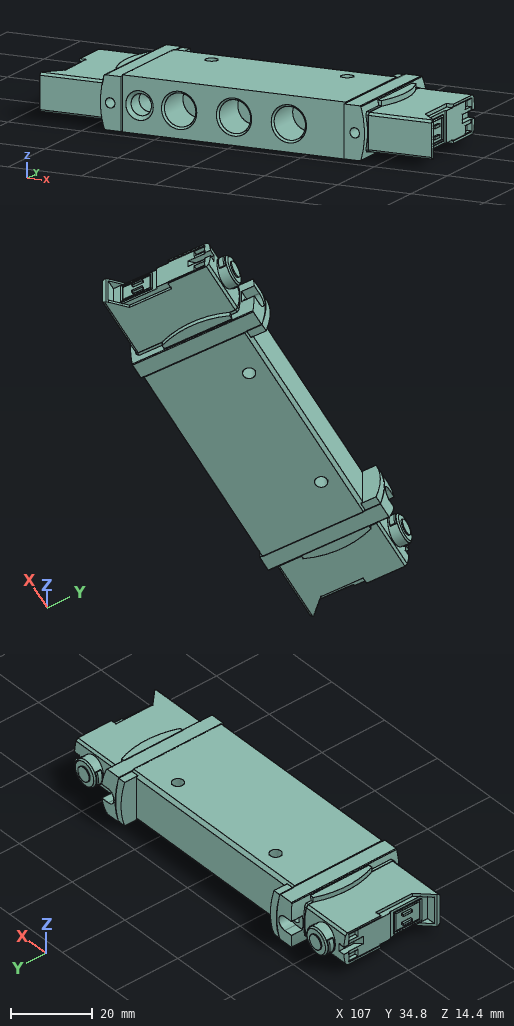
import cadquery as cq

LENGTH = 107.0
DEPTH = 34.8

BODY_HALF_LENGTH = 30.5
BODY_FRONT = 0.9
BODY_BACK = 29.9
BODY_THICKNESS = 14.4
BODY_BACK_CHAMFER = 1.0
PORT_PITCH = 15.0
PORT_DIAMETER = 8.6
PORT_MOUTH_DIAMETER = 9.6
PORT_DEPTH = 10.7
PILOT_X = -25.8
PILOT_DIAMETER = 5.6
PILOT_MOUTH_DIAMETER = 7.5
PILOT_DEPTH = 5.4
PILOT_TIP_LENGTH = 1.6
MOUNTING_HOLE_DIAMETER = 3.2
MOUNTING_HOLE_XS = (-17.7, 19.4)
MOUNTING_HOLE_Y = 24.1

CAP_THICKNESS = 13.9
CAP_EDGE_X = 35.1
CAP_CROWN_X = 36.1
CAP_EDGE_CHAMFER = 0.2
CAP_BACK_EDGE = 33.6
CAP_BACK_CROWN = 34.6
CAP_SCREW_X = 33.4
CAP_SCREW_DIAMETER = 2.6
SCREW_SLOT_WIDTH = 4.3
SCREW_SLOT_BOTTOM = 30.9
LIP_LENGTH = 2.2
LIP_THICKNESS = 13.5

BULGE_BASE_X = 36.3
BULGE_CROWN_X = 38.1
BULGE_FRONT = 9.0
BULGE_BACK = 27.8
BULGE_THICKNESS = 12.8

COIL_FACE_X = 51.0
COIL_THICKNESS = 10.0
COIL_FRONT = 1.7
COIL_BACK_EDGE = 30.0
COIL_BACK_CROWN = 30.5
COIL_CHAMFER = 0.6
SHOULDER_OFFSET = 0.1
SIDE_STEP_X = 49.2
SIDE_STEP_BACK = 18.6
PANEL_X = 50.8
PANEL_WIDTH = 8.6
PANEL_BACK = 28.8
LEDGE_BACK = 3.0
LEDGE_TIP_X = LENGTH / 2 - 0.3

SOCKET_WIDTH = 8.1
SOCKET_FRONT = 3.1
SOCKET_BACK = 15.3
SOCKET_FLOOR_X = 50.4
PLUG_X = 50.7
PLUG_WIDTH = 6.6
PLUG_FRONT = 5.2
PLUG_BACK = 14.0
PLUG_WALL = 0.5
PLUG_RECESS_DEPTH = 0.9
PIN_Z = 1.4
PIN_THICKNESS = 0.6
PIN_FRONT = 8.6
PIN_BACK = 11.5

LATCH_SLOT_WIDTH = 2.2
LATCH_SLOT_FRONT = 25.7
LATCH_SLOT_DEPTH = 1.8
WINDOW_FRONT = 25.8
WINDOW_INNER_Z = 2.0
WINDOW_OUTER_Z = 4.1
WINDOW_DEPTH = 1.3

BUTTON_X = 43.9
BUTTON_DIAMETER = 7.9
BUTTON_RIM = 33.3
BUTTON_CHAMFER = 0.4
BUTTON_TOP_DIAMETER = 4.3
BUTTON_TOP = 33.6
TAB_DIAMETER = 8.3
TAB_TIP_DIAMETER = 7.1
TAB_WIDTH = 4.3
TAB_START = 30.9
TAB_RAMP_START = 32.3


def block(x_range, y_range, z_range):
    """Box spanning the given ranges."""
    lows, highs = zip(x_range, y_range, z_range)
    sizes = [high - low for low, high in zip(lows, highs)]
    return cq.Workplane("XY").box(*sizes, centered=False).translate(lows)


def centred_block(x_range, y_range, thickness):
    """Box spanning X and Y ranges, centred on Z = 0."""
    return block(x_range, y_range, (-thickness / 2, thickness / 2))


def cylinder_y(x, diameter, y_start, y_end):
    """Cylinder along Y."""
    return cq.Workplane(cq.Solid.makeCylinder(
        diameter / 2, y_end - y_start, cq.Vector(x, y_start, 0), cq.Vector(0, 1, 0)))


def cone_y(x, diameter_start, diameter_end, y_start, y_end):
    """Cone along Y."""
    return cq.Workplane(cq.Solid.makeCone(
        diameter_start / 2, diameter_end / 2, y_end - y_start, cq.Vector(x, y_start, 0), cq.Vector(0, 1, 0)))


def prism_z(outline, thickness):
    """Straight-sided XY outline extruded evenly about Z = 0."""
    return cq.Workplane("XY").polyline(outline).close().extrude(thickness / 2, both=True)


def make_body():
    body = centred_block((-BODY_HALF_LENGTH, BODY_HALF_LENGTH), (BODY_FRONT, BODY_BACK), BODY_THICKNESS)
    body = body.faces(">Y").edges("|X").chamfer(BODY_BACK_CHAMFER)

    mouth_end = BODY_FRONT + (PORT_MOUTH_DIAMETER - PORT_DIAMETER) / 2
    for x in (-PORT_PITCH, 0, PORT_PITCH):
        body = body.cut(cylinder_y(x, PORT_DIAMETER, BODY_FRONT, BODY_FRONT + PORT_DEPTH))
        body = body.cut(cone_y(x, PORT_MOUTH_DIAMETER, PORT_DIAMETER, BODY_FRONT, mouth_end))

    mouth_end = BODY_FRONT + (PILOT_MOUTH_DIAMETER - PILOT_DIAMETER) / 2
    pilot_end = BODY_FRONT + PILOT_DEPTH
    body = body.cut(cylinder_y(PILOT_X, PILOT_DIAMETER, BODY_FRONT, pilot_end))
    body = body.cut(cone_y(PILOT_X, PILOT_MOUTH_DIAMETER, PILOT_DIAMETER, BODY_FRONT, mouth_end))
    body = body.cut(cone_y(PILOT_X, PILOT_DIAMETER, 0, pilot_end, pilot_end + PILOT_TIP_LENGTH))

    holes = (
        cq.Workplane("XY")
        .pushPoints([(x, MOUNTING_HOLE_Y) for x in MOUNTING_HOLE_XS])
        .circle(MOUNTING_HOLE_DIAMETER / 2)
        .extrude(BODY_THICKNESS, both=True)
    )
    return body.cut(holes)


def crowned_back(x_start, length, thickness, y_front, y_edge, y_crown):
    """Bar along X whose back is an arc across the thickness."""
    half = thickness / 2
    return (
        cq.Workplane("YZ", origin=(x_start, 0, 0))
        .moveTo(y_front, -half)
        .lineTo(y_edge, -half)
        .threePointArc((y_crown, 0), (y_edge, half))
        .lineTo(y_front, half)
        .close()
        .extrude(length)
    )


def make_cap():
    """Left end cap, crowned on its outer side and on its back."""
    half = CAP_THICKNESS / 2
    cap = (
        cq.Workplane("XZ")
        .moveTo(-BODY_HALF_LENGTH, -half)
        .lineTo(-CAP_EDGE_X + CAP_EDGE_CHAMFER, -half)
        .lineTo(-CAP_EDGE_X, -half + CAP_EDGE_CHAMFER)
        .threePointArc((-CAP_CROWN_X, 0), (-CAP_EDGE_X, half - CAP_EDGE_CHAMFER))
        .lineTo(-CAP_EDGE_X + CAP_EDGE_CHAMFER, half)
        .lineTo(-BODY_HALF_LENGTH, half)
        .close()
        .extrude(-DEPTH)
    )
    cap = cap.intersect(
        crowned_back(-CAP_CROWN_X, LENGTH / 2, CAP_THICKNESS, 0, CAP_BACK_EDGE, CAP_BACK_CROWN))

    cap = cap.union(crowned_back(
        -BODY_HALF_LENGTH, LIP_LENGTH, LIP_THICKNESS, BODY_BACK - BODY_BACK_CHAMFER, CAP_BACK_EDGE, DEPTH))

    cap = cap.cut(cylinder_y(-CAP_SCREW_X, CAP_SCREW_DIAMETER, 0, DEPTH))
    cap = cap.cut(cylinder_y(-CAP_SCREW_X, SCREW_SLOT_WIDTH, SCREW_SLOT_BOTTOM, DEPTH))
    return cap.cut(centred_block(
        (-CAP_CROWN_X, -CAP_SCREW_X), (SCREW_SLOT_BOTTOM, DEPTH), SCREW_SLOT_WIDTH))


def make_bulge():
    """Arc-edged plate between the left cap and the solenoid."""
    return (
        cq.Workplane("XY")
        .moveTo(-CAP_EDGE_X, BULGE_FRONT)
        .lineTo(-BULGE_BASE_X, BULGE_FRONT)
        .threePointArc((-BULGE_CROWN_X, (BULGE_FRONT + BULGE_BACK) / 2), (-BULGE_BASE_X, BULGE_BACK))
        .lineTo(-CAP_EDGE_X, BULGE_BACK)
        .close()
        .extrude(BULGE_THICKNESS / 2, both=True)
    )


def make_coil_section(x_start, length, offset):
    """Bar with the solenoid section, grown outward by offset: chamfered front, crowned back."""
    half = COIL_THICKNESS / 2 + offset
    flat = half - COIL_CHAMFER
    return (
        cq.Workplane("YZ", origin=(x_start, 0, 0))
        .moveTo(COIL_FRONT - offset, -flat)
        .lineTo(COIL_FRONT - offset + COIL_CHAMFER, -half)
        .lineTo(COIL_BACK_EDGE + offset - COIL_CHAMFER, -half)
        .lineTo(COIL_BACK_EDGE + offset, -flat)
        .threePointArc((COIL_BACK_CROWN + offset, 0), (COIL_BACK_EDGE + offset, flat))
        .lineTo(COIL_BACK_EDGE + offset - COIL_CHAMFER, half)
        .lineTo(COIL_FRONT - offset + COIL_CHAMFER, half)
        .lineTo(COIL_FRONT - offset, flat)
        .close()
        .extrude(length)
    )


def make_coil_outline():
    """Solenoid seen along Z: straight face, stepped side, sloped ledge at the front."""
    slope_start = LEDGE_BACK + LEDGE_TIP_X - SIDE_STEP_X
    stepped = prism_z(
        [
            (-CAP_EDGE_X, 0),
            (-LENGTH / 2, 0),
            (-LENGTH / 2, LEDGE_BACK - (LENGTH / 2 - LEDGE_TIP_X)),
            (-SIDE_STEP_X, slope_start),
            (-SIDE_STEP_X, SIDE_STEP_BACK),
            (-COIL_FACE_X, SIDE_STEP_BACK),
            (-COIL_FACE_X, DEPTH),
            (-CAP_EDGE_X, DEPTH),
        ],
        COIL_THICKNESS,
    )
    face = centred_block((-PANEL_X, -SIDE_STEP_X), (LEDGE_BACK, SIDE_STEP_BACK), SOCKET_WIDTH)
    panel = centred_block((-COIL_FACE_X, -PANEL_X), (SIDE_STEP_BACK, PANEL_BACK), PANEL_WIDTH)
    return stepped.union(face).cut(panel)


def make_socket_pocket():
    return centred_block((-LENGTH / 2, -SOCKET_FLOOR_X), (SOCKET_FRONT, SOCKET_BACK), SOCKET_WIDTH)


def make_plug():
    """Raised plug inside the socket, with a shallow recess and two flat pins."""
    plug = centred_block((-PLUG_X, -SIDE_STEP_X), (PLUG_FRONT, PLUG_BACK), PLUG_WIDTH)
    recess_floor = -PLUG_X + PLUG_RECESS_DEPTH
    plug = plug.cut(centred_block(
        (-PLUG_X, recess_floor),
        (PLUG_FRONT + PLUG_WALL, PLUG_BACK - PLUG_WALL),
        PLUG_WIDTH - 2 * PLUG_WALL,
    ))
    for z in (-PIN_Z, PIN_Z):
        plug = plug.union(block(
            (-COIL_FACE_X, recess_floor),
            (PIN_FRONT, PIN_BACK),
            (z - PIN_THICKNESS / 2, z + PIN_THICKNESS / 2),
        ))
    return plug


def cut_latch_details(coil):
    """Ramped slot and two shallow windows in the solenoid face."""
    slot_floor = -COIL_FACE_X + LATCH_SLOT_DEPTH
    coil = coil.cut(prism_z(
        [
            (-COIL_FACE_X, LATCH_SLOT_FRONT - LATCH_SLOT_DEPTH),
            (slot_floor, LATCH_SLOT_FRONT),
            (slot_floor, DEPTH),
            (-COIL_FACE_X, DEPTH),
        ],
        LATCH_SLOT_WIDTH,
    ))
    window_x = (-COIL_FACE_X, -COIL_FACE_X + WINDOW_DEPTH)
    for z_range in ((WINDOW_INNER_Z, WINDOW_OUTER_Z), (-WINDOW_OUTER_Z, -WINDOW_INNER_Z)):
        coil = coil.cut(block(window_x, (WINDOW_FRONT, PANEL_BACK), z_range))
    return coil


def make_button():
    """Push button with a raised top and a ramped tab on each X side."""
    body = cylinder_y(-BUTTON_X, BUTTON_DIAMETER, COIL_BACK_EDGE - COIL_CHAMFER, BUTTON_RIM)
    body = body.faces(">Y").chamfer(BUTTON_CHAMFER)
    x_range = (-BUTTON_X - TAB_DIAMETER / 2, -BUTTON_X + TAB_DIAMETER / 2)
    tabs = cylinder_y(-BUTTON_X, TAB_DIAMETER, TAB_START, TAB_RAMP_START)
    tabs = tabs.union(cone_y(-BUTTON_X, TAB_DIAMETER, TAB_TIP_DIAMETER, TAB_RAMP_START, BUTTON_RIM))
    tabs = tabs.intersect(centred_block(x_range, (TAB_START, BUTTON_RIM), TAB_WIDTH))
    top = cylinder_y(-BUTTON_X, BUTTON_TOP_DIAMETER, BUTTON_RIM, BUTTON_TOP)
    return body.union(tabs).union(top)


def make_solenoid():
    coil = make_coil_section(-LENGTH / 2, LENGTH / 2 - CAP_EDGE_X, 0).intersect(make_coil_outline())
    coil = coil.cut(make_socket_pocket()).union(make_plug())
    coil = cut_latch_details(coil)
    coil = coil.union(make_coil_section(-BULGE_BASE_X, BULGE_BASE_X - CAP_EDGE_X, SHOULDER_OFFSET))
    return coil.union(make_button())


left_end = make_cap().union(make_bulge()).union(make_solenoid())
right_end = left_end.mirror("YZ")
result = make_body().union(left_end).union(right_end)